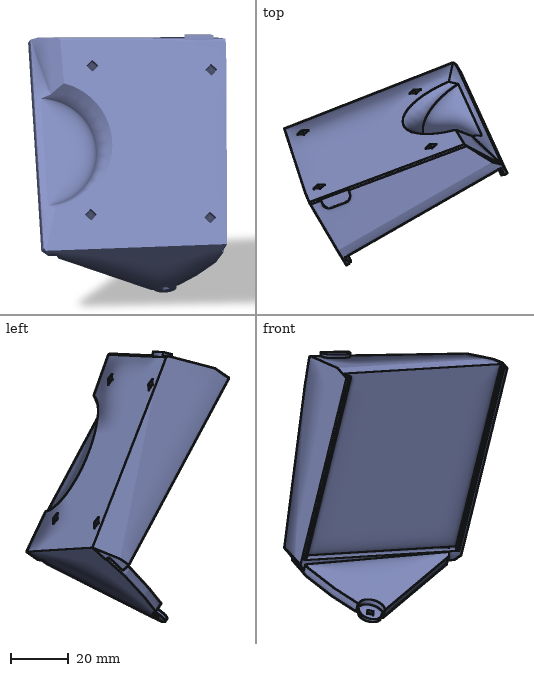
import cadquery as cq


def plane_through(a, b, c):
    """Plane at a, local x toward b, normal from the turn a-b-c."""
    a, b, c = cq.Vector(*a), cq.Vector(*b), cq.Vector(*c)
    return cq.Plane(a, b - a, (b - a).cross(c - a))


def slide_onto(plane, point, direction):
    """Point where the line through a point along a direction meets a plane."""
    point = cq.Vector(*point)
    gap = (plane.origin - point).dot(plane.zDir)
    return (point + direction * (gap / direction.dot(plane.zDir))).toTuple()


def on_plane(plane, x, y):
    """Point of a plane straight above or below (x, y)."""
    return slide_onto(plane, (x, y, 0), cq.Vector(0, 0, 1))


def local_xy(plane, x, y):
    """In-plane coordinates of the point of a plane at (x, y)."""
    point = plane.toLocalCoords(cq.Vector(*on_plane(plane, x, y)))
    return (point.x, point.y)


def polyhedron(faces):
    """Solid bounded by flat faces, each a list of corners."""
    walls = [cq.Face.makeFromWires(cq.Wire.makePolygon([cq.Vector(*p) for p in face], close=True))
             for face in faces]
    return cq.Workplane(cq.Solid.makeSolid(cq.Shell.makeShell(walls)).fix())


front_width = 64.4
front_height = 75.3
front_plane = plane_through((5.6, 34.9, 19.75), (61.5, 66.9, 23.1), (21.4, 0, 84.6))


def front_point(x, y, depth=0):
    """Point at a depth behind the front frame."""
    return front_plane.toWorldCoords((x, y, -depth)).toTuple()


bevel_depth = 6.8
rail_depth = 4.0
front_low_left = front_point(0, 0)
front_low_right = front_point(front_width, 0)
front_top_left = front_point(0, front_height)
front_top_right = front_point(front_width, front_height)
rail_low_left = front_point(0, 0, rail_depth)
rail_low_right = front_point(front_width, 0, rail_depth)
rail_top_right = front_point(front_width, front_height, rail_depth)
bevel_left = front_point(0, front_height, bevel_depth)
bevel_right = front_point(62.1, front_height, bevel_depth)

back_low_left = (0, 47.6, 25.8)
back_low_right = (58.6, 70.5, 24.4)
back_top_left = front_point(0, 69.3, 25.7)
back_plane = plane_through(back_low_left, back_low_right, back_top_left)
back_crease = slide_onto(back_plane, front_point(0, 58.2), front_plane.zDir)
top_plane = plane_through(bevel_left, bevel_right, back_top_left)
back_top_right = slide_onto(top_plane, on_plane(back_plane, 62.8, 41.6), back_plane.yDir)
back_waist = on_plane(back_plane, 55.1, 54.5)
edge_chamfer = 0.7

bottom_plane = plane_through(back_low_left, (30.7, 22.8, 0), back_low_right)
foot_left = slide_onto(bottom_plane, front_point(2.8, 0), front_plane.yDir)
foot_right = slide_onto(bottom_plane, front_point(front_width - 2.35, 0), front_plane.yDir)

recess_depth = 3.0
rail_wall = 1.0
lip_width = 1.0
lip_thickness = 1.1
ledge = 1.9
step_side = 1.2
step_depth = 0.4

tongue_thickness = 3.5
tongue_outline = [(9.4, 47), (2.7, 42.5), (6.3, 38.0), (7.5, 36.3), (16.6, 29.8), (24.8, 25.6),
                  (34.3, 26.4), (56.4, 63.2), (56.4, 67.7)]
seat_centre = (29.6, 25.7)
seat_thickness = 1.3
seat_diameter = 8.1
seat_clearance = 9.2
tip_hole_size = 3.0

back_hole_size = 4.1
back_hole_depth = 3.8
back_hole_places = [(6.5, 46.3), (45.4, 60.5), (12.1, 27.5), (51.0, 41.5)]

notch_centre = (62.1, 56.8)
notch_radius = 22.2
notch_depth = 14.1
notch_taper = 35
notch_floor = 2.5

catch_length = 10.2
catch_width = 4.1
catch_rise = 1.2
catch_sink = 1.4
catch_offset = 4.1
catch_radius = 2.4


def body():
    shell = polyhedron([
        [back_low_left, back_low_right, back_waist, back_top_right, back_top_left, back_crease],
        [back_top_left, back_top_right, bevel_right, bevel_left],
        [bevel_left, bevel_right, rail_top_right, front_top_right, front_top_left],
        [front_low_left, foot_left, foot_right, front_low_right, front_top_right, front_top_left],
        [back_low_left, foot_left, foot_right, back_low_right],
        [back_crease, back_top_left, bevel_left, front_top_left, front_low_left, rail_low_left],
        [back_low_left, back_crease, rail_low_left],
        [back_low_left, rail_low_left, foot_left],
        [foot_left, rail_low_left, front_low_left],
        [front_low_right, rail_low_right, rail_top_right, front_top_right],
        [foot_right, rail_low_right, front_low_right],
        [back_low_right, rail_low_right, foot_right],
        [back_low_right, rail_low_right, back_waist],
        [back_waist, rail_low_right, rail_top_right],
        [back_waist, rail_top_right, back_top_right],
        [back_top_right, rail_top_right, bevel_right],
    ])
    middle = (cq.Vector(*back_top_left) + cq.Vector(*back_top_right)) / 2
    return shell.edges(cq.NearestToPointSelector(middle.toTuple())).chamfer(edge_chamfer)


def panel_slot():
    """Recess open at the top, undercut behind a stepped lip on each rail."""
    def layer(side, start, depth):
        return (cq.Workplane(front_plane).workplane(offset=-start)
                .moveTo(side, ledge).rect(front_width - 2 * side, front_height, centered=False)
                .extrude(-depth))
    step = layer(step_side, 0, step_depth)
    opening = layer(rail_wall + lip_width, step_depth, recess_depth - step_depth)
    undercut = layer(rail_wall, lip_thickness, recess_depth - lip_thickness)
    return step.union(opening).union(undercut)


def tongue():
    outline = [local_xy(bottom_plane, x, y) for x, y in tongue_outline]
    base = cq.Workplane(bottom_plane)
    seat = base.center(*local_xy(bottom_plane, *seat_centre))
    clearance = seat.workplane(offset=seat_thickness).circle(seat_clearance / 2).extrude(tongue_thickness)
    disc = seat.circle(seat_diameter / 2).extrude(seat_thickness)
    hole = seat.polygon(4, tip_hole_size).extrude(seat_thickness)
    return base.polyline(outline).close().extrude(tongue_thickness).cut(clearance).union(disc).cut(hole)


def back_holes():
    places = [local_xy(back_plane, x, y) for x, y in back_hole_places]
    return cq.Workplane(back_plane).pushPoints(places).polygon(4, back_hole_size).extrude(back_hole_depth)


def finger_notch():
    """Tapered round cut that stops at a floor parallel to the panel."""
    funnel = (cq.Workplane(back_plane).center(*local_xy(back_plane, *notch_centre))
              .circle(notch_radius).extrude(notch_depth, taper=notch_taper))
    floor_size = 4 * front_height
    behind_floor = (cq.Workplane(front_plane).workplane(offset=-recess_depth - notch_floor)
                    .rect(floor_size, floor_size).extrude(-front_height))
    return funnel.intersect(behind_floor)


def catch():
    """Tab on the top face, flush with the back and rounded toward the front."""
    corner = cq.Vector(*back_top_left)
    along = cq.Vector(*back_top_right) - corner
    plane = cq.Plane(corner, along, top_plane.zDir)
    return (cq.Workplane(plane).workplane(offset=-catch_sink)
            .moveTo(catch_offset, -catch_width).rect(catch_length, catch_width, centered=False)
            .extrude(catch_sink + catch_rise)
            .edges(cq.ParallelDirSelector(plane.zDir))
            .edges(cq.selectors.CenterNthSelector(plane.yDir, 0)).fillet(catch_radius))


result = body().cut(panel_slot()).cut(finger_notch()).cut(back_holes())
result = result.union(tongue()).union(catch())